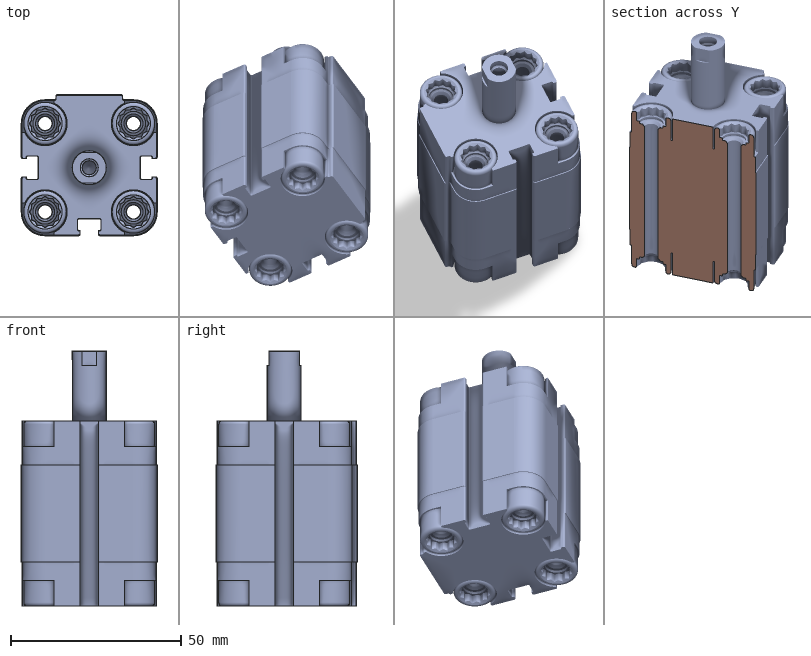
import cadquery as cq
import math


CONE_SLOPE = math.tan(math.radians(30))

HOUSING_LENGTH = 54.5
CAP_LENGTH = 12.95
BARREL_LENGTH = HOUSING_LENGTH - 2 * CAP_LENGTH
HALF_WIDTH = 20.0
SCREW_OFFSET = 13.0
CAP_INSET = 0.25

PAD_HEIGHT = 1.5
PAD_HALF_WIDTH = 9.8
PAD_FILLET = 0.5

SLOT_DEPTH = 5.0
SLOT_LIP = 1.5
SLOT_MOUTH_WIDTH = 5.4
SLOT_INNER_WIDTH = 6.8
SLOT_MOUTH_FILLET = 0.5
SLOT_INNER_FILLET = 0.3
SLOT_DIRECTIONS = (-90, 0, 180)

POCKET_DEPTH = 7.5
POCKET_DIAMETER = 13.0
POCKET_WALL = 10.4
HEAD_DIAMETER = 12.5
HEAD_FILLET = 1.0

SOCKET_MOUTH_DIAMETER = 10.0
SOCKET_POINT_DIAMETER = 9.2
SOCKET_NOTCH_DIAMETER = 8.1
SOCKET_POINTS = 12
SOCKET_DEPTH = 3.1
RECESS_DIAMETER = 7.2
RECESS_DEPTH = 3.9
BORE_MOUTH_DIAMETER = 5.6
BORE_DIAMETER = 4.13

ROD_DIAMETER = 10.0
ROD_LENGTH = 20.5
FLAT_LENGTH = 4.2
ACROSS_FLATS = 9.0
COUNTERBORE_DIAMETER = 5.3
COUNTERBORE_DEPTH = 2.1
THREAD_DIAMETER = 4.13
THREAD_DEPTH = 12.0


def t_slot():
    """Full-length T-slot cutter opening towards +X."""
    inner_depth = SLOT_DEPTH - SLOT_LIP
    floor = HALF_WIDTH - SLOT_DEPTH
    inner = (
        cq.Workplane("XY")
        .center(floor + inner_depth / 2, 0)
        .rect(inner_depth, SLOT_INNER_WIDTH)
        .extrude(HOUSING_LENGTH)
        .edges("|Z")
        .fillet(SLOT_INNER_FILLET)
    )
    mouth = (
        cq.Workplane("XY")
        .center(floor + SLOT_DEPTH / 2, 0)
        .rect(SLOT_DEPTH, SLOT_MOUTH_WIDTH)
        .extrude(HOUSING_LENGTH)
    )
    return inner.union(mouth)


def mouth_rounding(half_width):
    """Cutter that widens a +X slot mouth at the side face so that its two edges are round."""
    r = SLOT_MOUTH_FILLET
    half_mouth = SLOT_MOUTH_WIDTH / 2
    diagonal = r * (1 - math.sqrt(0.5))
    return (
        cq.Workplane("XY")
        .moveTo(half_width - r, -half_mouth)
        .threePointArc((half_width - diagonal, -half_mouth - diagonal), (half_width, -half_mouth - r))
        .lineTo(half_width, half_mouth + r)
        .threePointArc((half_width - diagonal, half_mouth + diagonal), (half_width - r, half_mouth))
        .close()
        .extrude(HOUSING_LENGTH)
    )


def housing_section(inset, length):
    """Rounded square with the pad on +Y and the T-slots, its outer faces moved in by inset."""
    half_width = HALF_WIDTH - inset
    corner_radius = half_width - SCREW_OFFSET
    section = (
        cq.Workplane("XY")
        .rect(2 * half_width, 2 * half_width)
        .extrude(length)
        .edges("|Z")
        .fillet(corner_radius)
    )
    pad = (
        cq.Workplane("XY")
        .center(0, (half_width + PAD_HEIGHT) / 2)
        .rect(2 * PAD_HALF_WIDTH, half_width + PAD_HEIGHT)
        .extrude(length)
    )
    section = section.union(pad)
    margin = PAD_FILLET / 2
    pad_edges = cq.selectors.BoxSelector(
        (-PAD_HALF_WIDTH - margin, half_width - margin, -margin),
        (PAD_HALF_WIDTH + margin, half_width + PAD_HEIGHT + margin, length + margin),
    )
    section = section.edges("|Z").edges(pad_edges).fillet(PAD_FILLET)
    slot = t_slot().union(mouth_rounding(half_width))
    for direction in SLOT_DIRECTIONS:
        section = section.cut(slot.rotate((0, 0, 0), (0, 0, 1), direction))
    return section


def corner_pocket():
    """Cutter, top at Z = 0, round about the screw and open to both outer sides of a +X +Y corner."""
    square_start = POCKET_WALL - SCREW_OFFSET
    square_size = HALF_WIDTH - POCKET_WALL
    square = (
        cq.Workplane("XY")
        .rect(square_size, square_size, centered=False)
        .extrude(-POCKET_DEPTH)
        .translate((square_start, square_start, 0))
    )
    return cq.Workplane("XY").circle(POCKET_DIAMETER / 2).extrude(-POCKET_DEPTH).union(square)


def screw_head():
    """Round-edged head filling most of a pocket, top at Z = 0."""
    return (
        cq.Workplane("XY")
        .circle(HEAD_DIAMETER / 2)
        .extrude(-POCKET_DEPTH)
        .faces(">Z")
        .edges()
        .fillet(HEAD_FILLET)
    )


def screw_socket():
    """Cutter, top at Z = 0: twelve-point socket, round recess below it and bore to the cap's end."""
    star = []
    for index in range(2 * SOCKET_POINTS):
        diameter = SOCKET_POINT_DIAMETER if index % 2 == 0 else SOCKET_NOTCH_DIAMETER
        angle = index * math.pi / SOCKET_POINTS
        star.append((diameter / 2 * math.cos(angle), diameter / 2 * math.sin(angle)))
    socket = cq.Workplane("XY").polyline(star).close().extrude(-SOCKET_DEPTH)

    mouth_radius = SOCKET_MOUTH_DIAMETER / 2
    recess_radius = RECESS_DIAMETER / 2
    bore_mouth_radius = BORE_MOUTH_DIAMETER / 2
    bore_radius = BORE_DIAMETER / 2
    turned = (
        cq.Workplane("XZ")
        .moveTo(0, 0)
        .lineTo(mouth_radius, 0)
        .lineTo(recess_radius, (recess_radius - mouth_radius) * CONE_SLOPE)
        .lineTo(recess_radius, -RECESS_DEPTH)
        .lineTo(bore_mouth_radius, -RECESS_DEPTH)
        .lineTo(bore_radius, -RECESS_DEPTH - (bore_mouth_radius - bore_radius))
        .lineTo(bore_radius, -CAP_LENGTH)
        .lineTo(0, -CAP_LENGTH)
        .close()
        .revolve(360, (0, 0, 0), (0, 1, 0))
    )
    return socket.union(turned)


def end_cap():
    """Cap with its outer face up at Z = CAP_LENGTH."""
    cap = housing_section(CAP_INSET, CAP_LENGTH)
    pocket = corner_pocket()
    head = screw_head()
    socket = screw_socket()
    for sign_x in (-1, 1):
        for sign_y in (-1, 1):
            place = (sign_x * SCREW_OFFSET, sign_y * SCREW_OFFSET, CAP_LENGTH)
            turn = math.degrees(math.atan2(sign_y, sign_x)) - 45
            cap = cap.cut(pocket.rotate((0, 0, 0), (0, 0, 1), turn).translate(place))
            cap = cap.union(head.translate(place))
            cap = cap.cut(socket.translate(place))
    return cap


def build_housing():
    cap = end_cap()
    barrel = (
        housing_section(0, BARREL_LENGTH)
        .faces(">Z")
        .workplane(origin=(0, 0, BARREL_LENGTH))
        .rect(2 * SCREW_OFFSET, 2 * SCREW_OFFSET, forConstruction=True)
        .vertices()
        .hole(BORE_DIAMETER)
    )
    bottom_cap = cap.mirror("XY").translate((0, 0, CAP_LENGTH))
    top_cap = cap.translate((0, 0, HOUSING_LENGTH - CAP_LENGTH))
    return barrel.translate((0, 0, CAP_LENGTH)).union(bottom_cap).union(top_cap)


def rod_end_hole():
    """Cutter, top at Z = 0: counterbore, cone, threaded part and drill point."""
    counterbore_radius = COUNTERBORE_DIAMETER / 2
    thread_radius = THREAD_DIAMETER / 2
    cone_depth = (counterbore_radius - thread_radius) * CONE_SLOPE
    return (
        cq.Workplane("XZ")
        .moveTo(0, 0)
        .lineTo(counterbore_radius, 0)
        .lineTo(counterbore_radius, -COUNTERBORE_DEPTH)
        .lineTo(thread_radius, -COUNTERBORE_DEPTH - cone_depth)
        .lineTo(thread_radius, -THREAD_DEPTH)
        .lineTo(0, -THREAD_DEPTH - thread_radius * CONE_SLOPE)
        .close()
        .revolve(360, (0, 0, 0), (0, 1, 0))
    )


def build_piston_rod():
    """Rod standing on the housing's top face, with two wrench flats facing -Y and +Y."""
    shank = cq.Workplane("XY").circle(ROD_DIAMETER / 2).extrude(ROD_LENGTH - FLAT_LENGTH)
    tip = (
        cq.Workplane("XY", origin=(0, 0, ROD_LENGTH - FLAT_LENGTH))
        .circle(ROD_DIAMETER / 2)
        .extrude(FLAT_LENGTH)
    )
    between_flats = cq.Workplane("XY").box(
        2 * ROD_DIAMETER, ACROSS_FLATS, ROD_LENGTH, centered=(True, True, False)
    )
    rod = shank.union(tip.intersect(between_flats))
    rod = rod.cut(rod_end_hole().translate((0, 0, ROD_LENGTH)))
    return rod.translate((0, 0, HOUSING_LENGTH))


housing = build_housing()
piston_rod = build_piston_rod()

result = cq.Compound.makeCompound([housing.val(), piston_rod.val()])